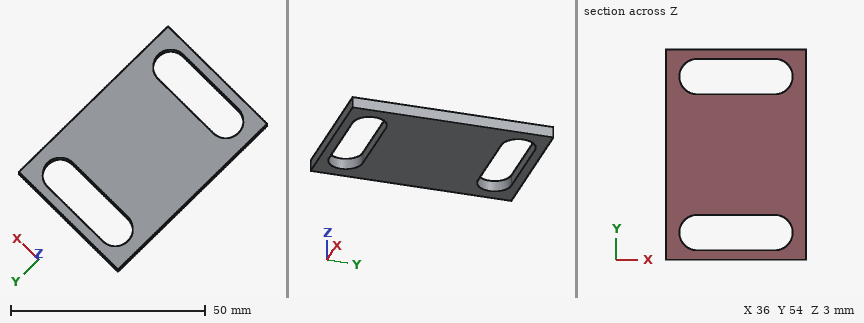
import cadquery as cq

plate_width = 36.0
plate_length = 54.0
plate_thickness = 3.0

slot_length = 29.0
slot_width = 9.0
slot_spacing = 40.0

plate = cq.Workplane("XY").box(plate_width, plate_length, plate_thickness)

slot_centers = [(0, -slot_spacing / 2), (0, slot_spacing / 2)]
result = (
    plate.faces(">Z")
    .workplane()
    .pushPoints(slot_centers)
    .slot2D(slot_length, slot_width)
    .cutThruAll()
)